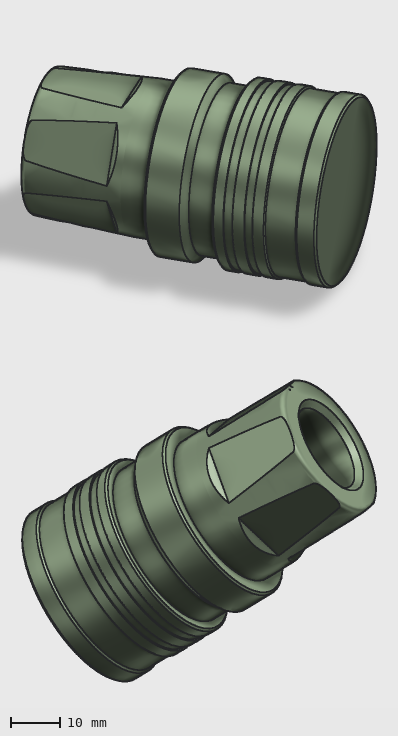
import cadquery as cq
import math

TOTAL_LENGTH = 65.15
NOSE_END = 22.0
FLANGE_START = 27.95
FLANGE_RIM_END = 35.65
NECK_START = 37.15
SLEEVE_START = 42.7
END_BAND_START = 60.6
RIDGE_ENDS = (45.2, 49.7)
GROOVE_ENDS = (47.2, 51.5)
LAST_RIDGE_END = 53.9

NOSE_TIP_RADIUS = 15.45
COLLAR_RADIUS = 16.4
FLANGE_RADIUS = 19.55
NECK_RADIUS = 17.9
SLEEVE_RADIUS = 20.0
GROOVE_RADIUS = 19.6
GRIP_RADIUS = 19.55

NOSE_FILLET = 1.3
EDGE_CHAMFER = 0.45
GRIP_DEPTH = SLEEVE_RADIUS - GRIP_RADIUS
LAST_RIDGE_SLOPE_LENGTH = 0.25

FLAT_COUNT = 6
FLAT_APOTHEM = 14.9
FLAT_LENGTH = 18.95
FLAT_TOOL_HEIGHT = 6.5
FLAT_TOOL_WIDTH = 2 * FLAT_APOTHEM * math.tan(math.pi / FLAT_COUNT)

MOUTH_RADIUS = 10.55
BORE_RADIUS = 9.25
BORE_TAPER = 1 / 16
BORE_DEPTH = 13.7
COUNTERSINK_ANGLE = 90.0


def revolve_about_x(profile):
    """Revolve an (x, radius) profile around the X axis."""
    return profile.close().revolve(360, (0, 0, 0), (1, 0, 0))


def make_nose():
    """Slightly conical nose, widening towards the collar."""
    profile = (
        cq.Workplane("XY")
        .lineTo(0, NOSE_TIP_RADIUS)
        .lineTo(NOSE_END, COLLAR_RADIUS)
        .lineTo(NOSE_END, 0)
    )
    return revolve_about_x(profile)


def make_flat_cutter():
    """Wedge that removes everything above the top flat, ending in the run-out."""
    return (
        cq.Workplane("XZ")
        .moveTo(0, FLAT_APOTHEM)
        .lineTo(FLAT_LENGTH, FLAT_APOTHEM)
        .lineTo(FLAT_LENGTH + FLAT_TOOL_HEIGHT, FLAT_APOTHEM + FLAT_TOOL_HEIGHT)
        .lineTo(0, FLAT_APOTHEM + FLAT_TOOL_HEIGHT)
        .close()
        .extrude(FLAT_TOOL_WIDTH / 2, both=True)
    )


def cut_flats(nose):
    """Cut the wrench flats evenly around the nose."""
    cutter = make_flat_cutter()
    for index in range(FLAT_COUNT):
        angle = index * 360 / FLAT_COUNT
        nose = nose.cut(cutter.rotate((0, 0, 0), (1, 0, 0), angle))
    return nose


def make_body():
    """Collar, flange, neck and ridged sleeve as one revolved profile."""
    profile = (
        cq.Workplane("XY")
        .moveTo(NOSE_END, 0)
        .lineTo(NOSE_END, COLLAR_RADIUS)
        .lineTo(FLANGE_START, COLLAR_RADIUS)
        .lineTo(FLANGE_START, FLANGE_RADIUS - EDGE_CHAMFER)
        .lineTo(FLANGE_START + EDGE_CHAMFER, FLANGE_RADIUS)
        .lineTo(FLANGE_RIM_END, FLANGE_RADIUS)
        .lineTo(NECK_START, NECK_RADIUS)
        .lineTo(SLEEVE_START, NECK_RADIUS)
        .lineTo(SLEEVE_START, SLEEVE_RADIUS - EDGE_CHAMFER)
        .lineTo(SLEEVE_START + EDGE_CHAMFER, SLEEVE_RADIUS)
    )
    for ridge_end, groove_end in zip(RIDGE_ENDS, GROOVE_ENDS):
        profile = (
            profile.lineTo(ridge_end, SLEEVE_RADIUS)
            .lineTo(ridge_end, GROOVE_RADIUS)
            .lineTo(groove_end, GROOVE_RADIUS)
            .lineTo(groove_end, SLEEVE_RADIUS)
        )
    profile = (
        profile.lineTo(LAST_RIDGE_END, SLEEVE_RADIUS)
        .lineTo(LAST_RIDGE_END + LAST_RIDGE_SLOPE_LENGTH, GRIP_RADIUS)
        .lineTo(END_BAND_START, GRIP_RADIUS)
        .lineTo(END_BAND_START + GRIP_DEPTH, SLEEVE_RADIUS)
        .lineTo(TOTAL_LENGTH - EDGE_CHAMFER, SLEEVE_RADIUS)
        .lineTo(TOTAL_LENGTH, SLEEVE_RADIUS - EDGE_CHAMFER)
        .lineTo(TOTAL_LENGTH, 0)
    )
    return revolve_about_x(profile)


def make_bore():
    """Countersink and tapered bore to be removed from the nose face."""
    half_angle = math.radians(COUNTERSINK_ANGLE / 2)
    countersink_depth = (MOUTH_RADIUS - BORE_RADIUS) / math.tan(half_angle)
    taper_length = BORE_DEPTH - countersink_depth
    floor_radius = BORE_RADIUS - taper_length * BORE_TAPER / 2
    profile = (
        cq.Workplane("XY")
        .lineTo(0, MOUTH_RADIUS)
        .lineTo(countersink_depth, BORE_RADIUS)
        .lineTo(BORE_DEPTH, floor_radius)
        .lineTo(BORE_DEPTH, 0)
    )
    return revolve_about_x(profile)


nose = make_nose().faces("<X").edges().fillet(NOSE_FILLET)
result = cut_flats(nose).union(make_body()).cut(make_bore())